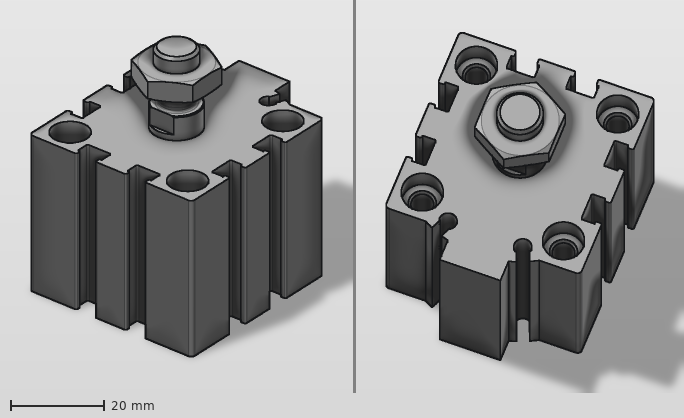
import cadquery as cq
import math


BODY_SIDE = 45.0
BODY_HEIGHT = 39.0
HALF_SIDE = BODY_SIDE / 2
CORNER_RADIUS = 1.0

CROWN_RADIUS = 26.0
TAB_WIDTH = 14.0
TAB_REACH = 52.5 - HALF_SIDE
SENSOR_SLOT_ANGLE = 22.5
SENSOR_SLOT_DISTANCE = 22.5
SENSOR_SLOT_DIAMETER = 3.9
SENSOR_SLOT_MOUTH = 2.85
SENSOR_SLOT_LEDGE = 1.0

T_SLOT_OFFSET = 6.85
T_SLOT_MOUTH = 5.2
T_SLOT_WIDTH = 6.5
T_SLOT_DEPTH = 4.6
LIP_THICKNESS = 1.5
T_SLOT_RADIUS = 0.4

HOLE_PITCH = 32.5
HOLE_DIAMETER = 4.9
COUNTERSINK_DIAMETER = 6.0
COUNTERBORE_DIAMETER = 9.0
COUNTERBORE_DEPTH = 5.5

ROD_DIAMETER = 12.0
ROD_SHOULDER = 6.0
SHOULDER_CHAMFER = 0.25
FLAT_WIDTH = 10.05
FLAT_START = 1.5
NECK_DIAMETER = 8.2
NECK_TOP = 7.15
NECK_FILLET = 0.55
THREAD_DIAMETER = 10.05
THREAD_BOTTOM = 9.7
ROD_LENGTH = 59 - BODY_HEIGHT
TIP_DIAMETER = 8.55

NUT_ACROSS_FLATS = 17.1
NUT_BOTTOM = 11.1
NUT_HEIGHT = 5.0
NUT_FACE_DIAMETER = 16.75
NUT_CHAMFER_ANGLE = 15


def make_t_slot(offset):
    """T-slot cutter for the -Y side, centred at X = offset, with rounded lips and floor corners."""
    wall = -HALF_SIDE
    mouth = T_SLOT_MOUTH / 2
    channel = T_SLOT_WIDTH / 2
    arc_inset = T_SLOT_RADIUS * (1 - math.sqrt(0.5))
    slot = (
        cq.Workplane("XY")
        .moveTo(-mouth - T_SLOT_RADIUS, wall)
        .threePointArc((-mouth - arc_inset, wall + arc_inset), (-mouth, wall + T_SLOT_RADIUS))
        .lineTo(-mouth, wall + LIP_THICKNESS)
        .lineTo(-channel, wall + LIP_THICKNESS)
        .lineTo(-channel, wall + T_SLOT_DEPTH)
        .lineTo(channel, wall + T_SLOT_DEPTH)
        .lineTo(channel, wall + LIP_THICKNESS)
        .lineTo(mouth, wall + LIP_THICKNESS)
        .lineTo(mouth, wall + T_SLOT_RADIUS)
        .threePointArc((mouth + arc_inset, wall + arc_inset), (mouth + T_SLOT_RADIUS, wall))
        .close()
        .extrude(BODY_HEIGHT)
    )
    slot = slot.edges("|Z and >Y").fillet(T_SLOT_RADIUS)
    for side in (-1, 1):
        inner_lip = (side * mouth, wall + LIP_THICKNESS, BODY_HEIGHT / 2)
        slot = slot.edges(cq.selectors.NearestToPointSelector(inner_lip)).fillet(T_SLOT_RADIUS)
    return slot.translate((offset, 0, 0))


def make_sensor_slot(angle):
    """Round slot with ledges below its radial mouth, turned by angle from the +Y direction."""
    radius = SENSOR_SLOT_DIAMETER / 2
    mouth = SENSOR_SLOT_MOUTH / 2
    ledge = math.sqrt(radius**2 - SENSOR_SLOT_LEDGE**2)
    ledge_y = SENSOR_SLOT_DISTANCE + SENSOR_SLOT_LEDGE
    outer_y = CROWN_RADIUS + radius
    return (
        cq.Workplane("XY")
        .moveTo(mouth, outer_y)
        .lineTo(mouth, ledge_y)
        .lineTo(ledge, ledge_y)
        .threePointArc((0, SENSOR_SLOT_DISTANCE - radius), (-ledge, ledge_y))
        .lineTo(-mouth, ledge_y)
        .lineTo(-mouth, outer_y)
        .close()
        .extrude(BODY_HEIGHT)
        .rotate((0, 0, 0), (0, 0, 1), angle)
    )


def make_mounting_hole(x, y):
    """Through hole with a counterbore and a 45 degree countersink in its floor."""
    hole_radius = HOLE_DIAMETER / 2
    countersink_radius = COUNTERSINK_DIAMETER / 2
    counterbore_radius = COUNTERBORE_DIAMETER / 2
    floor = BODY_HEIGHT - COUNTERBORE_DEPTH
    return (
        cq.Workplane("XZ")
        .polyline([
            (0, 0),
            (hole_radius, 0),
            (hole_radius, floor - (countersink_radius - hole_radius)),
            (countersink_radius, floor),
            (counterbore_radius, floor),
            (counterbore_radius, BODY_HEIGHT),
            (0, BODY_HEIGHT),
        ])
        .close()
        .revolve(360, (0, 0, 0), (0, 1, 0))
        .translate((x, y, 0))
    )


def make_block():
    """Square block with rounded corners and T-slots on the -Y, -X and +X sides."""
    block = cq.Workplane("XY").rect(BODY_SIDE, BODY_SIDE).extrude(BODY_HEIGHT)
    block = block.edges("|Z").fillet(CORNER_RADIUS)
    for turn in (0, 90, -90):
        for offset in (-T_SLOT_OFFSET, T_SLOT_OFFSET):
            slot = make_t_slot(offset)
            block = block.cut(slot.rotate((0, 0, 0), (0, 0, 1), turn))
    return block


def make_housing():
    """Slotted block with a crowned back wall, tab, sensor slots and mounting holes."""
    housing = make_block()

    crown_half_width = math.sqrt(CROWN_RADIUS**2 - HALF_SIDE**2)
    crown = (
        cq.Workplane("XY")
        .moveTo(-crown_half_width, HALF_SIDE)
        .threePointArc((0, CROWN_RADIUS), (crown_half_width, HALF_SIDE))
        .lineTo(crown_half_width, 0)
        .lineTo(-crown_half_width, 0)
        .close()
        .extrude(BODY_HEIGHT)
    )
    tab = (
        cq.Workplane("XY")
        .center(0, TAB_REACH / 2)
        .rect(TAB_WIDTH, TAB_REACH)
        .extrude(BODY_HEIGHT)
    )
    housing = housing.union(crown).union(tab)

    for angle in (-SENSOR_SLOT_ANGLE, SENSOR_SLOT_ANGLE):
        housing = housing.cut(make_sensor_slot(angle))

    for x in (-HOLE_PITCH / 2, HOLE_PITCH / 2):
        for y in (-HOLE_PITCH / 2, HOLE_PITCH / 2):
            housing = housing.cut(make_mounting_hole(x, y))
    return housing


def make_rod():
    """Turned rod with a thread undercut, tip chamfer and two wrench flats."""
    tip_chamfer = (THREAD_DIAMETER - TIP_DIAMETER) / 2
    rod = (
        cq.Workplane("XZ")
        .moveTo(0, 0)
        .lineTo(ROD_DIAMETER / 2, 0)
        .lineTo(ROD_DIAMETER / 2, ROD_SHOULDER - SHOULDER_CHAMFER)
        .lineTo(ROD_DIAMETER / 2 - SHOULDER_CHAMFER, ROD_SHOULDER)
        .lineTo(NECK_DIAMETER / 2, ROD_SHOULDER)
        .lineTo(NECK_DIAMETER / 2, NECK_TOP)
        .lineTo(THREAD_DIAMETER / 2, THREAD_BOTTOM)
        .lineTo(THREAD_DIAMETER / 2, ROD_LENGTH - tip_chamfer)
        .lineTo(TIP_DIAMETER / 2, ROD_LENGTH)
        .lineTo(0, ROD_LENGTH)
        .close()
        .revolve(360, (0, 0, 0), (0, 1, 0))
    )
    for neck_end in (ROD_SHOULDER, NECK_TOP):
        neck_edge = cq.selectors.NearestToPointSelector((0, 0, neck_end))
        rod = rod.edges(neck_edge).fillet(NECK_FILLET)

    flat_depth = (ROD_DIAMETER - FLAT_WIDTH) / 2
    for side in (-1, 1):
        flat = (
            cq.Workplane("XY", origin=(0, 0, FLAT_START))
            .center(0, side * (FLAT_WIDTH + flat_depth) / 2)
            .rect(ROD_DIAMETER, flat_depth)
            .extrude(ROD_SHOULDER - FLAT_START)
        )
        rod = rod.cut(flat)
    return rod.translate((0, 0, BODY_HEIGHT))


def make_nut():
    """Hexagon nut, corners along Y, with both faces turned to a shallow cone."""
    corner_radius = NUT_ACROSS_FLATS / math.sqrt(3)
    face_radius = NUT_FACE_DIAMETER / 2
    corner_drop = (corner_radius - face_radius) * math.tan(math.radians(NUT_CHAMFER_ANGLE))
    hexagon = (
        cq.Workplane("XY")
        .polygon(6, 2 * corner_radius)
        .extrude(NUT_HEIGHT)
        .rotate((0, 0, 0), (0, 0, 1), 30)
    )
    turned_blank = (
        cq.Workplane("XZ")
        .polyline([
            (THREAD_DIAMETER / 2, 0),
            (face_radius, 0),
            (corner_radius, corner_drop),
            (corner_radius, NUT_HEIGHT - corner_drop),
            (face_radius, NUT_HEIGHT),
            (THREAD_DIAMETER / 2, NUT_HEIGHT),
        ])
        .close()
        .revolve(360, (0, 0, 0), (0, 1, 0))
    )
    return hexagon.intersect(turned_blank).translate((0, 0, BODY_HEIGHT + NUT_BOTTOM))


housing = make_housing()
rod = make_rod()
nut = make_nut()

result = cq.Compound.makeCompound([housing.val(), rod.val(), nut.val()])